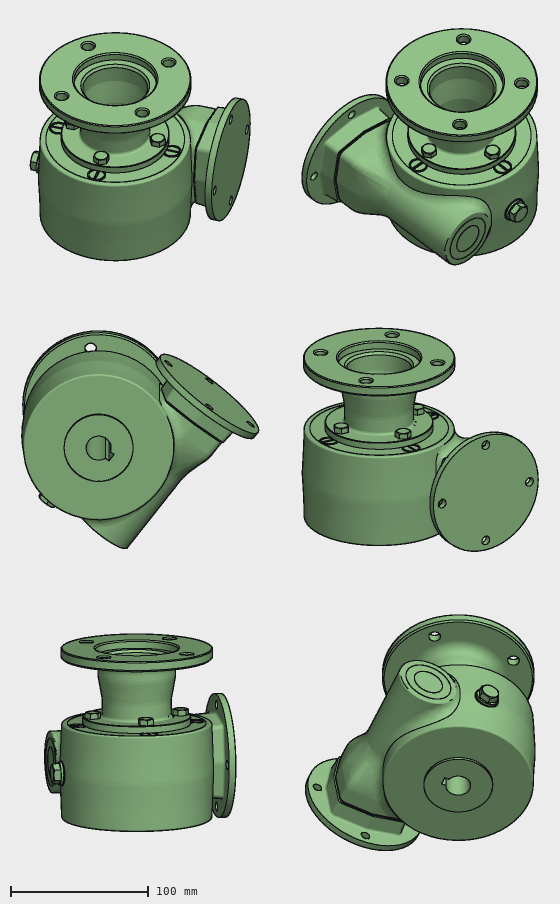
import cadquery as cq
import math

TOLERANCE = 1e-3

DRUM_HALF_HEIGHT = 35.0
DRUM_END_RADIUS = 54.5
DRUM_BELT_RADIUS = 55.78
DRUM_BELT_HALF_HEIGHT = 1.25
DRUM_EDGE_FILLET = 1.3
COVER_RADIUS = 50.3
COVER_RECESS = 0.2
COVER_TOP = DRUM_HALF_HEIGHT - COVER_RECESS
BOTTOM_BOSS_RADIUS = 25.0
BOTTOM_BOSS_HEIGHT = 2.0

SLOT_SCREW_CIRCLE_RADIUS = 43.2
SLOT_SCREW_RADIUS = 5.7
SLOT_SCREW_POCKET_RADIUS = 6.6
SLOT_SCREW_DEPTH = 0.6
SLOT_WIDTH = 1.3
SLOT_DEPTH = 1.0

PLATE_RADIUS = 39.2
PLATE_TOP = 40.0
PLATE_CHAMFER = 0.4
NECK_RADIUS = 25.1
NECK_BASE_FILLET = 2.0
NECK_CONE_START = 52.8
NECK_CONE_END = 69.9
NECK_BLEND = 15.0
NECK_HEAD_RADIUS = 28.2
FLANGE_TOP = 90.5
FLANGE_THICKNESS = 7.5
FLANGE_RADIUS = 55.0
FLANGE_TOP_CHAMFER = 0.7
FLANGE_BOTTOM_CHAMFER = 1.2
FLANGE_FILLET = 8.0
FLANGE_HOLE_DIAMETER = 8.5
FLANGE_HOLE_CHAMFER = 1.0
FLANGE_HOLE_CIRCLE_RADIUS = 43.5

SPIGOT_RADIUS = 30.0
SPIGOT_DEPTH = 6.0
SPIGOT_CHAMFER = 1.0
BEARING_BORE_RADIUS = 23.5
BEARING_BORE_CHAMFER_WIDTH = 1.5
BEARING_BORE_CHAMFER_DEPTH = 2.0
BEARING_BORE_END = 70.0
LOWER_CONE_TOP = 67.5
LOWER_CONE_TOP_RADIUS = 23.0
LOWER_BORE_RADIUS = 20.0
NECK_FLOOR = 37.0

SHAFT_BORE_DIAMETER = 18.0
SHAFT_BORE_CHAMFER = 0.7
SHAFT_GAP_RADIUS = 16.25
SHAFT_GAP_DEPTH = 3.0
SHAFT_RADIUS = 15.0
SHAFT_CHAMFER = 1.1
KEYWAY_WIDTH = 6.0
KEYWAY_TOP = 11.8

HEX_TOP_RATIO = 0.95
HEX_CHAMFER_ANGLE = math.radians(30)

BOLT_ACROSS_FLATS = 10.0
BOLT_HEAD_HEIGHT = 4.3
BOLT_CIRCLE_RADIUS = 32.5

WORM_Y = 45.0
WORM_END_X = -54.3
WORM_RADIUS = 22.5
WORM_END_FILLET = 0.8
WORM_CAP_RADIUS = 17.5
WORM_CAP_RECESS = 0.2
WORM_CAP_CENTER_RADIUS = 11.0
FLARE_START_X = 10.0
FLARE_END_X = 42.2
FLARE_STATIONS = 5
BODY_END_X = 54.5
BODY_HALF_SIZE = 29.0
BODY_FLAT_END = 21.3
HOUSING_FILLET = 8.0

GASKET_THICKNESS = 1.0
GASKET_INSET = 0.3

COLLAR_START_HALF_SIZE = 30.0
COLLAR_START_FLAT_END = 23.3
COLLAR_END_HALF_SIZE = 31.0
COLLAR_END_FLAT_END = 24.3
COLLAR_FILLET = 1.7
MOTOR_FLANGE_X = 68.5
MOTOR_FLANGE_THICKNESS = 5.0
MOTOR_FLANGE_RADIUS = 45.0
MOTOR_HOLE_DIAMETER = 6.5
MOTOR_HOLE_CIRCLE_RADIUS = 37.5

SIDE_SLOPE = math.radians(9)
RIDGE_HALF_WIDTH = 1.35
SIDES = 4

PLUG_SEAT_RADIUS = 9.0
PLUG_SEAT_X = -55.8
PLUG_WASHER_RADIUS = 8.33
PLUG_HEAD_X = -57.6
PLUG_END_X = -62.8
PLUG_ACROSS_FLATS = 13.0


def quarter_turns(shape, axis_point, axis_end):
    """The shape and its copies turned by 90, 180 and 270 degrees, as a list."""
    return [shape.rotate(axis_point, axis_end, 90 * k) for k in range(SIDES)]


def hex_head(across_flats, height):
    """Hexagon head standing on Z = 0, corners on X, with its top corners turned off by a cone."""
    across_corners = across_flats / math.cos(math.pi / 6)
    top_radius = HEX_TOP_RATIO * across_flats / 2
    cone_height = height + top_radius * math.tan(HEX_CHAMFER_ANGLE)
    cone = cq.Workplane(cq.Solid.makeCone(cone_height / math.tan(HEX_CHAMFER_ANGLE), 0, cone_height))
    return cq.Workplane("XY").polygon(6, across_corners).extrude(height).intersect(cone)


def cylinder(z_start, z_end, radius):
    return cq.Workplane("XY", origin=(0, 0, z_start)).circle(radius).extrude(z_end - z_start)


def disc_x(x_start, x_end, radius, y=0.0):
    plane = cq.Workplane("YZ", origin=(x_start, y, 0))
    return plane.circle(radius).extrude(x_end - x_start)


def side_points(half_size, flat_end):
    """Ends and middles of the flat, ridge, flat and corner that make up one side, in order."""
    ridge = half_size - RIDGE_HALF_WIDTH * math.tan(SIDE_SLOPE / 2)
    edge = ridge - (flat_end - RIDGE_HALF_WIDTH) * math.tan(SIDE_SLOPE)
    corner_sagitta = (edge - flat_end) / math.sqrt(2) * math.tan((math.pi / 2 - 2 * SIDE_SLOPE) / 4)
    corner = (edge + flat_end) / 2 + corner_sagitta / math.sqrt(2)
    flat_middle = ((ridge + edge) / 2, (RIDGE_HALF_WIDTH + flat_end) / 2)
    return [
        (edge, -flat_end),
        (flat_middle[0], -flat_middle[1]),
        (ridge, -RIDGE_HALF_WIDTH),
        (half_size, 0),
        (ridge, RIDGE_HALF_WIDTH),
        flat_middle,
        (edge, flat_end),
        (corner, corner),
    ]


def bulged_section(x, half_size, flat_end, roundness=0.0):
    """Wire of the bulged square at x; roundness 1 turns it into the worm housing's circle."""
    quarter = []
    for u, v in side_points(half_size, flat_end):
        pull = roundness * (WORM_RADIUS / math.hypot(u, v) - 1)
        quarter.append((u * (1 + pull), v * (1 + pull)))
    points = []
    for k in range(SIDES):
        c, s = round(math.cos(k * math.pi / 2)), round(math.sin(k * math.pi / 2))
        points += [cq.Vector(x, WORM_Y + c * u - s * v, s * u + c * v) for u, v in quarter]
    edges = []
    for i in range(0, len(points), 2):
        start, middle, end = points[i], points[i + 1], points[(i + 2) % len(points)]
        is_flat = i % 4 == 0 and roundness == 0
        if is_flat:
            edges.append(cq.Edge.makeLine(start, end))
        else:
            edges.append(cq.Edge.makeThreePointArc(start, middle, end))
    return cq.Wire.assembleEdges(edges)


def drum():
    outline = [
        (0, -DRUM_HALF_HEIGHT),
        (DRUM_END_RADIUS, -DRUM_HALF_HEIGHT),
        (DRUM_BELT_RADIUS, -DRUM_BELT_HALF_HEIGHT),
        (DRUM_BELT_RADIUS, DRUM_BELT_HALF_HEIGHT),
        (DRUM_END_RADIUS, DRUM_HALF_HEIGHT),
        (0, DRUM_HALF_HEIGHT),
    ]
    body = cq.Workplane("XZ").polyline(outline).close().revolve(360, (0, 0, 0), (0, 1, 0))
    return body.faces("|Z").edges().fillet(DRUM_EDGE_FILLET)


def bulged_bar(x_start, x_end, half_size, flat_end):
    section = bulged_section(x_start, half_size, flat_end)
    return cq.Workplane(cq.Solid.extrudeLinear(section, [], cq.Vector(x_end - x_start, 0, 0)))


def flare():
    """Smooth change from the round tube to the bulged square body."""
    wires = []
    for i in range(FLARE_STATIONS):
        t = i / (FLARE_STATIONS - 1)
        smooth_step = t * t * (3 - 2 * t)
        x = FLARE_START_X + t * (FLARE_END_X - FLARE_START_X)
        wires.append(bulged_section(x, BODY_HALF_SIZE, BODY_FLAT_END, 1 - smooth_step))
    return cq.Workplane(cq.Solid.makeLoft(wires))


def worm_housing():
    tube = disc_x(WORM_END_X, FLARE_START_X, WORM_RADIUS, WORM_Y)
    tube = tube.faces("<X").edges().fillet(WORM_END_FILLET)
    body = bulged_bar(FLARE_END_X, BODY_END_X, BODY_HALF_SIZE, BODY_FLAT_END)
    return tube.union(flare()).union(body)


def lies_on_core(edge):
    """True for the curves where the worm housing meets the drum's core cylinder."""
    on_wall = all(
        abs(math.hypot(p.x, p.y) - DRUM_END_RADIUS) < TOLERANCE for p in edge.positions([0.1, 0.5, 0.8])
    )
    height = abs(edge.Center().z)
    is_seam = edge.BoundingBox().zlen > 2 * DRUM_HALF_HEIGHT - TOLERANCE
    return on_wall and not is_seam and height < DRUM_HALF_HEIGHT - TOLERANCE


def housing():
    """Drum and worm housing with the large fillet between them."""
    core = cylinder(-DRUM_HALF_HEIGHT, DRUM_HALF_HEIGHT, DRUM_END_RADIUS)
    core = core.rotate((0, 0, 0), (0, 0, 1), -90)
    joined = core.union(worm_housing()).val()
    junction = [edge for edge in joined.Edges() if lies_on_core(edge)]
    blended = cq.Workplane(joined.fillet(HOUSING_FILLET, junction))
    core_top = cylinder(DRUM_HALF_HEIGHT - DRUM_EDGE_FILLET, DRUM_HALF_HEIGHT, 2 * DRUM_END_RADIUS)
    core_bottom = core_top.mirror("XY")
    blended = blended.cut(core_top).cut(core_bottom)
    return blended.union(drum())


def bottom_boss():
    return cylinder(-DRUM_HALF_HEIGHT - BOTTOM_BOSS_HEIGHT, -DRUM_HALF_HEIGHT, BOTTOM_BOSS_RADIUS)


def cover_recess():
    return cylinder(COVER_TOP, DRUM_HALF_HEIGHT, COVER_RADIUS)


def slot_screw_cuts():
    """Ring around each sunk screw head and the slot across it."""
    x = -SLOT_SCREW_CIRCLE_RADIUS
    plane = cq.Workplane("XY", origin=(x, 0, COVER_TOP))
    ring = plane.circle(SLOT_SCREW_POCKET_RADIUS).circle(SLOT_SCREW_RADIUS).extrude(-SLOT_SCREW_DEPTH)
    slot = plane.rect(2 * SLOT_SCREW_RADIUS, SLOT_WIDTH).extrude(-SLOT_DEPTH)
    return quarter_turns(ring.union(slot), (0, 0, 0), (0, 0, 1))


def neck():
    """Base plate, waisted neck and top flange as one revolved outline."""
    flange_bottom = FLANGE_TOP - FLANGE_THICKNESS
    bow = 1 - math.sqrt(0.5)
    base_fillet_r = NECK_RADIUS + NECK_BASE_FILLET
    head_fillet_r = NECK_HEAD_RADIUS + FLANGE_FILLET
    outline = (
        cq.Workplane("XZ")
        .moveTo(0, COVER_TOP)
        .lineTo(PLATE_RADIUS, COVER_TOP)
        .lineTo(PLATE_RADIUS, PLATE_TOP - PLATE_CHAMFER)
        .lineTo(PLATE_RADIUS - PLATE_CHAMFER, PLATE_TOP)
        .lineTo(base_fillet_r, PLATE_TOP)
        .threePointArc(
            (NECK_RADIUS + bow * NECK_BASE_FILLET, PLATE_TOP + bow * NECK_BASE_FILLET),
            (NECK_RADIUS, PLATE_TOP + NECK_BASE_FILLET),
        )
        .lineTo(NECK_RADIUS, NECK_CONE_START)
        .lineTo(NECK_HEAD_RADIUS, NECK_CONE_END)
        .lineTo(NECK_HEAD_RADIUS, flange_bottom - FLANGE_FILLET)
        .threePointArc(
            (NECK_HEAD_RADIUS + bow * FLANGE_FILLET, flange_bottom - bow * FLANGE_FILLET),
            (head_fillet_r, flange_bottom),
        )
        .lineTo(FLANGE_RADIUS - FLANGE_BOTTOM_CHAMFER, flange_bottom)
        .lineTo(FLANGE_RADIUS, flange_bottom + FLANGE_BOTTOM_CHAMFER)
        .lineTo(FLANGE_RADIUS, FLANGE_TOP - FLANGE_TOP_CHAMFER)
        .lineTo(FLANGE_RADIUS - FLANGE_TOP_CHAMFER, FLANGE_TOP)
        .lineTo(0, FLANGE_TOP)
        .close()
    )
    solid = outline.revolve(360, (0, 0, 0), (0, 1, 0))
    cone_ends = [
        edge
        for edge in solid.edges("%CIRCLE").vals()
        if min(abs(edge.Center().z - NECK_CONE_START), abs(edge.Center().z - NECK_CONE_END)) < TOLERANCE
    ]
    return solid.newObject(cone_ends).fillet(NECK_BLEND)


def neck_bore():
    spigot_floor = FLANGE_TOP - SPIGOT_DEPTH
    outline = [
        (0, FLANGE_TOP),
        (SPIGOT_RADIUS + SPIGOT_CHAMFER, FLANGE_TOP),
        (SPIGOT_RADIUS, FLANGE_TOP - SPIGOT_CHAMFER),
        (SPIGOT_RADIUS, spigot_floor),
        (BEARING_BORE_RADIUS + BEARING_BORE_CHAMFER_WIDTH, spigot_floor),
        (BEARING_BORE_RADIUS, spigot_floor - BEARING_BORE_CHAMFER_DEPTH),
        (BEARING_BORE_RADIUS, BEARING_BORE_END),
        (LOWER_CONE_TOP_RADIUS, LOWER_CONE_TOP),
        (LOWER_BORE_RADIUS, NECK_CONE_START),
        (LOWER_BORE_RADIUS, NECK_FLOOR),
        (0, NECK_FLOOR),
    ]
    return cq.Workplane("XZ").polyline(outline).close().revolve(360, (0, 0, 0), (0, 1, 0))


def flange_holes():
    offset = FLANGE_HOLE_CIRCLE_RADIUS / math.sqrt(2)
    bottom = FLANGE_TOP - FLANGE_THICKNESS
    radius = FLANGE_HOLE_DIAMETER / 2
    outline = [
        (0, bottom),
        (radius, bottom),
        (radius, FLANGE_TOP - FLANGE_HOLE_CHAMFER),
        (radius + FLANGE_HOLE_CHAMFER, FLANGE_TOP),
        (0, FLANGE_TOP),
    ]
    hole = cq.Workplane("XZ").polyline(outline).close().revolve(360, (0, 0, 0), (0, 1, 0))
    return quarter_turns(hole.translate((offset, offset, 0)), (0, 0, 0), (0, 0, 1))


def shaft_gap():
    """Ring-shaped gap that frees the chamfered end of the hollow shaft in the neck floor."""
    bottom = NECK_FLOOR - SHAFT_GAP_DEPTH
    gap = cylinder(bottom, NECK_FLOOR, SHAFT_GAP_RADIUS)
    shaft_end = cylinder(bottom, NECK_FLOOR, SHAFT_RADIUS).faces(">Z").chamfer(SHAFT_CHAMFER)
    return gap.cut(shaft_end)


def shaft_bore():
    bottom = -DRUM_HALF_HEIGHT - BOTTOM_BOSS_HEIGHT
    bore_radius = SHAFT_BORE_DIAMETER / 2
    bore = cylinder(bottom, NECK_FLOOR, bore_radius)
    keyway = cq.Workplane("XY", origin=(0, KEYWAY_TOP / 2, bottom))
    countersink = cq.Workplane(
        cq.Solid.makeCone(
            bore_radius,
            bore_radius + SHAFT_BORE_CHAMFER,
            SHAFT_BORE_CHAMFER,
            cq.Vector(0, 0, NECK_FLOOR - SHAFT_BORE_CHAMFER),
        )
    )
    return bore.union(countersink).union(keyway.rect(KEYWAY_WIDTH, KEYWAY_TOP).extrude(NECK_FLOOR - bottom))


def plate_bolts():
    bolt = hex_head(BOLT_ACROSS_FLATS, BOLT_HEAD_HEIGHT)
    return quarter_turns(bolt.translate((BOLT_CIRCLE_RADIUS, 0, PLATE_TOP)), (0, 0, 0), (0, 0, 1))


def collar():
    """Drafted bulged square that carries the motor flange, with a fillet at its foot."""
    start = bulged_section(BODY_END_X + GASKET_THICKNESS, COLLAR_START_HALF_SIZE, COLLAR_START_FLAT_END)
    end = bulged_section(MOTOR_FLANGE_X, COLLAR_END_HALF_SIZE, COLLAR_END_FLAT_END)
    return cq.Workplane(cq.Solid.makeLoft([start, end], True))


def motor_end():
    flange_end = MOTOR_FLANGE_X + MOTOR_FLANGE_THICKNESS
    flange = disc_x(MOTOR_FLANGE_X, flange_end, MOTOR_FLANGE_RADIUS, WORM_Y)
    joined = collar().union(flange)
    shoulder = joined.faces("|X").faces("<X[1]").val()
    foot = [edge for wire in shoulder.innerWires() for edge in wire.Edges()]
    gasket = bulged_bar(
        BODY_END_X,
        BODY_END_X + GASKET_THICKNESS,
        BODY_HALF_SIZE - GASKET_INSET,
        BODY_FLAT_END - GASKET_INSET,
    )
    return joined.newObject(foot).fillet(COLLAR_FILLET).union(gasket)


def motor_holes():
    flange_end = MOTOR_FLANGE_X + MOTOR_FLANGE_THICKNESS
    hole = disc_x(MOTOR_FLANGE_X, flange_end, MOTOR_HOLE_DIAMETER / 2, WORM_Y + MOTOR_HOLE_CIRCLE_RADIUS)
    return quarter_turns(hole, (0, WORM_Y, 0), (1, WORM_Y, 0))


def worm_cap_recess():
    floor_x = WORM_END_X + WORM_CAP_RECESS
    ring = disc_x(WORM_END_X, floor_x, WORM_CAP_RADIUS, WORM_Y)
    return ring.cut(disc_x(WORM_END_X, floor_x, WORM_CAP_CENTER_RADIUS, WORM_Y))


def oil_plug():
    inside_x = -DRUM_END_RADIUS + PLUG_SEAT_RADIUS
    seat = disc_x(inside_x, PLUG_SEAT_X, PLUG_SEAT_RADIUS)
    washer = disc_x(PLUG_SEAT_X, PLUG_HEAD_X, PLUG_WASHER_RADIUS)
    head = hex_head(PLUG_ACROSS_FLATS, PLUG_HEAD_X - PLUG_END_X).rotate((0, 0, 0), (0, 1, 0), -90)
    return seat.union(washer).union(head.translate((PLUG_HEAD_X, 0, 0)))


def cut_all(body, tools):
    for tool in tools:
        body = body.cut(tool)
    return body


def gearbox():
    body = housing().cut(cover_recess())
    body = cut_all(body, slot_screw_cuts())
    body = body.union(bottom_boss()).union(neck()).union(motor_end()).union(oil_plug())
    for bolt in plate_bolts():
        body = body.union(bolt)
    body = body.cut(neck_bore()).cut(shaft_gap()).cut(shaft_bore()).cut(worm_cap_recess())
    body = cut_all(body, flange_holes())
    return cut_all(body, motor_holes())


result = gearbox()